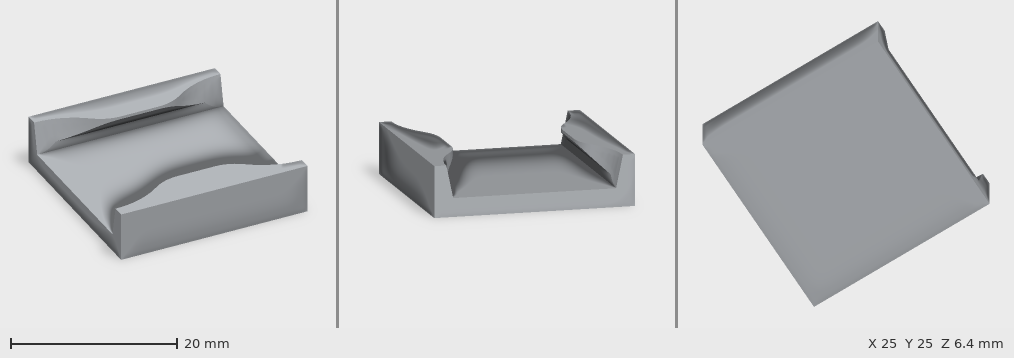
import cadquery as cq

side = 25
height = 6.4
floor_height = 2.32
half_side = side / 2

wall = 2.35
overhang_start = 3.5

lip = 4.88
end_wall = 1.5
flat_half_length = 2.5
bend_y = 5.92


def opening_quarter(end_thickness, z):
    """Closed wire of the -X, +Y quarter of the opening at height z."""
    lip_x = lip - half_side
    end_x = end_thickness - half_side
    bend_fraction = (bend_y - flat_half_length) / (half_side - flat_half_length)
    bend_x = lip_x + (end_x - lip_x) * bend_fraction
    outline = (
        cq.Workplane("XY", origin=(0, 0, z))
        .moveTo(lip_x, 0)
        .lineTo(lip_x, flat_half_length)
        .tangentArcPoint((bend_x, bend_y), relative=False)
        .tangentArcPoint((end_x, half_side), relative=False)
        .lineTo(0, half_side)
        .lineTo(0, 0)
        .close()
    )
    return outline.val()


def curved_opening():
    """Opening that narrows from the top to the floor, least at the lips."""
    lower = opening_quarter(wall, floor_height)
    upper = opening_quarter(end_wall, height)
    quarter = cq.Workplane(cq.Solid.makeLoft([lower, upper], True))
    half = quarter.union(quarter.mirror("YZ"))
    return half.union(half.mirror("XZ"))


def undercut_channel():
    """Straight channel along Y whose sides close in at 45 degrees up to the top."""
    base_half = half_side - wall
    top_half = base_half - (height - overhang_start)
    return (
        cq.Workplane("XZ")
        .polyline([
            (-base_half, floor_height),
            (base_half, floor_height),
            (base_half, overhang_start),
            (top_half, height),
            (-top_half, height),
            (-base_half, overhang_start),
        ])
        .close()
        .extrude(half_side, both=True)
    )


block = cq.Workplane("XY").box(side, side, height, centered=(True, True, False))
result = block.cut(undercut_channel()).cut(curved_opening()).clean()